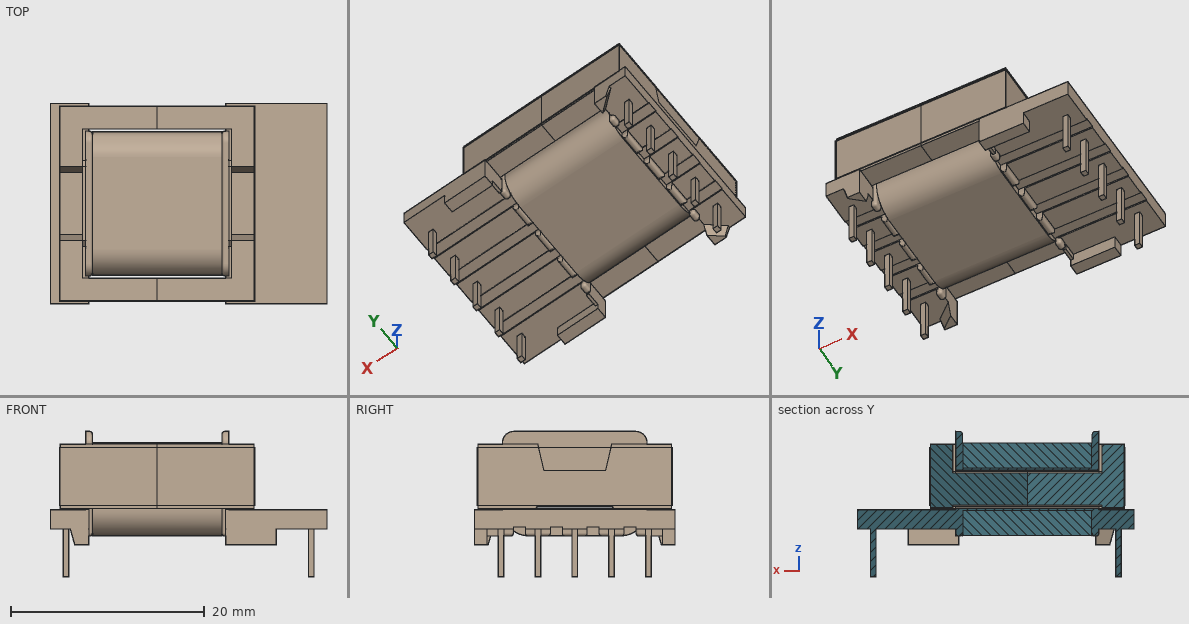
import cadquery as cq


core_size = 20.0
window_size = 15.38
core_bottom = 0.1
core_height = 6.65
core_top = core_bottom + core_height

leg_bottom = 0.31
leg_height = 3.6
leg_width = 8.9
leg_flat_width = 7.63
leg_chamfer = (leg_width - leg_flat_width) / 2

notch_floor = 4.03
notch_top_width = 7.63
notch_floor_width = 6.37
recess_bottom_width = 8.0
recess_top_width = 7.77

tape_thickness = 0.1
tape_inset = 0.35
tape_bottom = core_bottom + tape_inset
tape_height = core_height - 2 * tape_inset

winding_length = 13.35
winding_thickness = 2.65

tube_width = 9.52
tube_bottom = -0.05
tube_top = 4.25
tube_middle = (tube_bottom + tube_top) / 2
tube_height = tube_top - tube_bottom
tube_wall = 0.2
flange_inner_x = winding_length / 2
flange_thickness = 0.71
flange_outer_x = flange_inner_x + flange_thickness
flange_width = 14.95
flange_top = 8.1
flange_bottom = -2.75
flange_corner_radius = 1.2
flange_edge_radius = 0.31

bobbin_length = 28.58
base_width = 20.7
base_half_width = base_width / 2
base_thickness = 2.0
base_inner_x = 7.05
left_base_end = -11.03
right_base_end = left_base_end + bobbin_length
foot_bottom = -3.63
right_foot_end = 12.3
right_foot_width = 1.31
left_foot_top_corner_x = -8.97
left_foot_bottom_corner_x = -8.52
left_foot_top_flat = 0.3
left_foot_bottom_flat = 0.17
left_foot_slope = 0.85

pin_count = 5
pin_pitch = 3.8
pin_size = 0.6
pin_bottom = -6.95
left_pin_x = -9.4
right_pin_x = 15.9
slot_width = 1.23
slot_top = -1.8


def box(x_range, y_range, z_range):
    """Return a box that spans the three given ranges."""
    (x0, x1), (y0, y1), (z0, z1) = x_range, y_range, z_range
    return cq.Workplane("XY").box(x1 - x0, y1 - y0, z1 - z0, centered=False).translate((x0, y0, z0))


def centered_box(x_range, width, z_range):
    """Return a box that is symmetric about the middle plane."""
    return box(x_range, (-width / 2, width / 2), z_range)


def prism_along_x(points, x_range):
    """Extrude a closed outline of (y, z) points between two X positions."""
    start, end = x_range
    return cq.Workplane("YZ", origin=(start, 0, 0)).polyline(points).close().extrude(end - start)


def trapezoid(lower_width, lower_z, upper_width, upper_z):
    """Return the (y, z) corners of a trapezoid centred on the middle plane."""
    return [
        (-lower_width / 2, lower_z),
        (lower_width / 2, lower_z),
        (upper_width / 2, upper_z),
        (-upper_width / 2, upper_z),
    ]


def center_leg(x_range):
    """Return the flat centre leg, with all four long edges chamfered."""
    leg_top = leg_bottom + leg_height
    outline = [
        (-leg_flat_width / 2, leg_bottom),
        (leg_flat_width / 2, leg_bottom),
        (leg_width / 2, leg_bottom + leg_chamfer),
        (leg_width / 2, leg_top - leg_chamfer),
        (leg_flat_width / 2, leg_top),
        (-leg_flat_width / 2, leg_top),
        (-leg_width / 2, leg_top - leg_chamfer),
        (-leg_width / 2, leg_bottom + leg_chamfer),
    ]
    return prism_along_x(outline, x_range)


def make_left_core_half():
    """Return the E-shaped core half on the -X side of the joint."""
    yoke_range = (-core_size / 2, -window_size / 2)
    core_z = (core_bottom, core_top)
    frame = centered_box((-core_size / 2, 0), core_size, core_z)
    frame = frame.cut(centered_box((-window_size / 2, 0), window_size, core_z))
    notch = trapezoid(notch_floor_width, notch_floor, notch_top_width, core_top)
    recess = trapezoid(recess_bottom_width, core_bottom, recess_top_width, leg_bottom)
    frame = frame.cut(prism_along_x(notch, yoke_range))
    frame = frame.cut(prism_along_x(recess, yoke_range))
    return frame.union(center_leg((-window_size / 2, 0)))


def make_tape():
    """Return the thin band wrapped around both core halves."""
    outer_size = core_size + 2 * tape_thickness
    return (
        cq.Workplane("XY", origin=(0, 0, tape_bottom))
        .rect(outer_size, outer_size)
        .rect(core_size, core_size)
        .extrude(tape_height)
    )


def make_winding():
    """Return the coil: a rounded block with the bobbin tube's space through it."""
    coil = (
        cq.Workplane("YZ", origin=(-winding_length / 2, 0, 0))
        .center(0, tube_middle)
        .rect(tube_width + 2 * winding_thickness, tube_height + 2 * winding_thickness)
        .extrude(winding_length)
        .edges("|X")
        .fillet(winding_thickness)
    )
    x_range = (-winding_length / 2, winding_length / 2)
    return coil.cut(centered_box(x_range, tube_width, (tube_bottom, tube_top)))


def right_flange():
    """Return the +X flange down to the wire slots, rounded on its upper corners and inner edge."""
    x_range = (flange_inner_x, flange_outer_x)
    plate = centered_box(x_range, flange_width, (slot_top, flange_top))
    plate = plate.edges("|X and >Z").fillet(flange_corner_radius)
    return plate.faces("<X").edges("not <Z").fillet(flange_edge_radius)


def right_posts():
    """Return the rounded posts that hang below the +X flange, separated by the wire slots."""
    x_range = (flange_inner_x, flange_outer_x)
    slot_edges = [-flange_width / 2]
    for y in row_positions(pin_count - 1):
        slot_edges += [y - slot_width / 2, y + slot_width / 2]
    slot_edges.append(flange_width / 2)

    posts = []
    for y_start, y_end in zip(slot_edges[::2], slot_edges[1::2]):
        post = box(x_range, (y_start, y_end), (flange_bottom, slot_top))
        is_end_post = abs(y_start + y_end) > flange_width - 2 * slot_width
        rounded_edges = "|Z or <Z" if is_end_post else "<Z"
        posts.append(post.edges(rounded_edges).fillet(flange_edge_radius))
    return posts


def left_foot(side):
    """Return one tapered three-sided foot of the left base; side is +1 or -1 along Y."""

    def outline(corner_x, flat_width):
        outer_y = side * base_half_width
        inner_width = flat_width - left_foot_slope * (corner_x + base_inner_x)
        return [
            (-base_inner_x, outer_y),
            (corner_x, outer_y),
            (corner_x, outer_y - side * flat_width),
            (-base_inner_x, outer_y - side * inner_width),
        ]

    return (
        cq.Workplane("XY", origin=(0, 0, -base_thickness))
        .polyline(outline(left_foot_top_corner_x, left_foot_top_flat))
        .close()
        .workplane(offset=foot_bottom + base_thickness)
        .polyline(outline(left_foot_bottom_corner_x, left_foot_bottom_flat))
        .close()
        .loft(ruled=True)
    )


def right_foot(side):
    """Return one rectangular foot of the right base; side is +1 or -1 along Y."""
    outer_y = side * base_half_width
    y_range = sorted((outer_y, outer_y - side * right_foot_width))
    return box((base_inner_x, right_foot_end), y_range, (foot_bottom, -base_thickness))


def row_positions(count):
    """Return Y positions of a row centred on the middle plane at the pin pitch."""
    return [(i - (count - 1) / 2) * pin_pitch for i in range(count)]


def pin_row(x):
    """Return one row of square pins that starts under a base."""
    points = [(x, y) for y in row_positions(pin_count)]
    return (
        cq.Workplane("XY", origin=(0, 0, pin_bottom))
        .pushPoints(points)
        .rect(pin_size, pin_size)
        .extrude(-base_thickness - pin_bottom)
    )


def make_bobbin():
    """Return the tube, flanges, bases, feet and pins as one solid."""
    base_z = (-base_thickness, 0)
    tube_x = (-flange_outer_x, flange_outer_x)

    bobbin = centered_box((left_base_end, -base_inner_x), base_width, base_z)
    bobbin = bobbin.union(centered_box((base_inner_x, right_base_end), base_width, base_z))

    for side in (1, -1):
        y_range = sorted((side * flange_width / 2, side * (base_half_width - right_foot_width)))
        lip = box((base_inner_x, flange_outer_x), y_range, (flange_bottom, -base_thickness))
        bobbin = bobbin.union(lip).union(left_foot(side)).union(right_foot(side))

    for y in row_positions(pin_count - 1):
        y_range = (y - slot_width / 2, y + slot_width / 2)
        bobbin = bobbin.cut(box((left_base_end, right_base_end), y_range, (-base_thickness, slot_top)))

    bobbin = bobbin.union(centered_box(tube_x, tube_width, (tube_bottom, tube_top)))
    for piece in [right_flange(), *right_posts()]:
        bobbin = bobbin.union(piece).union(piece.mirror("YZ"))
    bore_z = (tube_bottom + tube_wall, tube_top - tube_wall)
    bobbin = bobbin.cut(centered_box(tube_x, tube_width - 2 * tube_wall, bore_z))

    return bobbin.union(pin_row(left_pin_x)).union(pin_row(right_pin_x))


left_core_half = make_left_core_half()
right_core_half = left_core_half.mirror("YZ")
tape = make_tape()
winding = make_winding()
bobbin = make_bobbin()

result = cq.Compound.makeCompound(
    [
        left_core_half.solids().val(),
        right_core_half.solids().val(),
        tape.solids().val(),
        winding.solids().val(),
        bobbin.solids().val(),
    ]
)